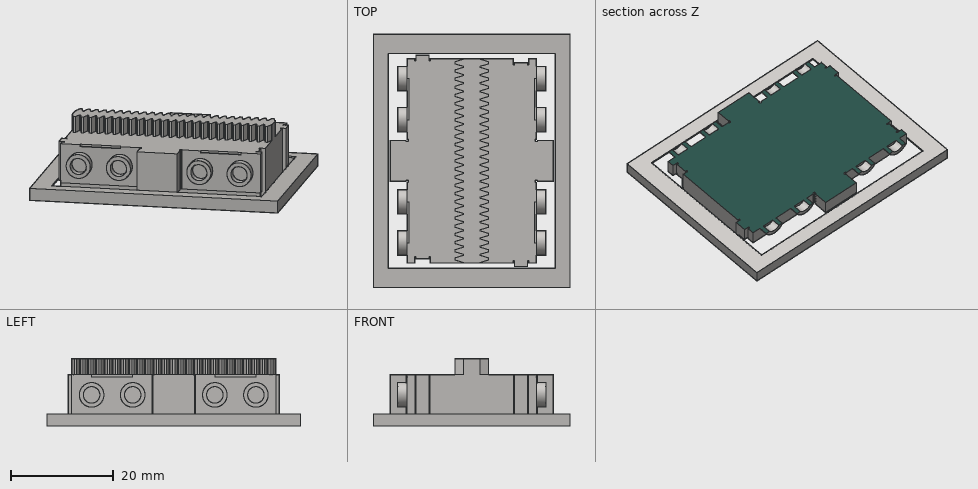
import cadquery as cq

FRAME_WIDTH = 38.4
FRAME_LENGTH = 49.4
FRAME_THICKNESS = 2.4
FRAME_WALL = 1.5
LIP_THICKNESS = 0.3
OPENING_WIDTH = 32.5
OPENING_LENGTH = 41.8

BLOCK_WIDTH = 25.2
BLOCK_LENGTH = 39.8
SIDE_HEIGHT = 7.85
CORE_WIDTH = 18.5
TOTAL_HEIGHT = 13.2

RACK_HEIGHT = 3.15
TOOTH_COUNT = 25
TOOTH_PITCH = BLOCK_LENGTH / TOOTH_COUNT
RACK_TIP_WIDTH = 6.55
RACK_ROOT_WIDTH = 3.25
TOOTH_TIP_FLAT = 0.4
TOOTH_ROOT_FLAT = 0.2

BLOCK_TOP = TOTAL_HEIGHT - RACK_HEIGHT
SIDE_BOTTOM = BLOCK_TOP - SIDE_HEIGHT

STUD_DIAMETER = 4.8
STUD_BORE = 3.2
STUD_HEIGHT = 1.85
STUD_PITCH = 8.0
STUD_STEPS = (-2, -1, 1, 2)
STUD_Z = SIDE_BOTTOM + SIDE_HEIGHT / 2

TAB_SPAN = 31.8
TAB_LENGTH = STUD_PITCH
TAB_RELIEF = 0.4

EDGE_NOTCH = 0.4
EDGE_NOTCH_Y = 1.5 * STUD_PITCH

KEY_OFFSET = 9.6
KEY_WIDTH = 2.55
KEY_HEIGHT = 0.7
KEYWAY_WIDTH = 2.95
KEYWAY_DEPTH = 0.8
KEY_RELIEF_WIDTH = (KEYWAY_WIDTH - KEY_WIDTH) / 2
KEY_RELIEF_DEPTH = 0.4


def box(width, length, bottom, top, x=0, y=0):
    """Box centred on (x, y) between two levels."""
    return cq.Workplane("XY").box(width, length, top - bottom, centered=(True, True, False)).translate(
        (x, y, bottom)
    )


def make_frame():
    outer = box(FRAME_WIDTH, FRAME_LENGTH, 0, FRAME_THICKNESS)
    opening = box(OPENING_WIDTH, OPENING_LENGTH, 0, FRAME_THICKNESS)
    undercut = box(
        FRAME_WIDTH - 2 * FRAME_WALL, FRAME_LENGTH - 2 * FRAME_WALL, 0, FRAME_THICKNESS - LIP_THICKNESS
    )
    return outer.cut(opening).cut(undercut)


def make_rack():
    """Bar with mirrored teeth on both long sides, ending in half root flats."""
    tip_x = RACK_TIP_WIDTH / 2
    root_x = RACK_ROOT_WIDTH / 2
    root_y = (TOOTH_PITCH - TOOTH_ROOT_FLAT) / 2
    tip_y = TOOTH_TIP_FLAT / 2
    side = [(root_x, -BLOCK_LENGTH / 2)]
    for i in range(TOOTH_COUNT):
        y = (i - (TOOTH_COUNT - 1) / 2) * TOOTH_PITCH
        side += [(root_x, y - root_y), (tip_x, y - tip_y), (tip_x, y + tip_y), (root_x, y + root_y)]
    side.append((root_x, BLOCK_LENGTH / 2))
    mirrored = [(-x, y) for x, y in reversed(side)]
    return cq.Workplane("XY", origin=(0, 0, BLOCK_TOP)).polyline(side + mirrored).close().extrude(RACK_HEIGHT)


def make_plan_body():
    """Core, tabs and keys at full depth, less the keyways and corner reliefs."""
    body = box(BLOCK_WIDTH, BLOCK_LENGTH, 0, BLOCK_TOP)
    body = body.union(box(TAB_SPAN, TAB_LENGTH, 0, BLOCK_TOP))
    for x in (-BLOCK_WIDTH / 2, BLOCK_WIDTH / 2):
        for y in (-TAB_LENGTH / 2, TAB_LENGTH / 2):
            body = body.cut(box(TAB_RELIEF, TAB_RELIEF, 0, BLOCK_TOP, x, y))
    for end in (-1, 1):
        end_y = end * BLOCK_LENGTH / 2
        key_x = -end * KEY_OFFSET
        keyway_x = end * KEY_OFFSET
        floor_y = end_y - end * KEYWAY_DEPTH
        body = body.union(box(KEY_WIDTH, 2 * KEY_HEIGHT, 0, BLOCK_TOP, key_x, end_y))
        body = body.cut(box(KEYWAY_WIDTH, 2 * KEYWAY_DEPTH, 0, BLOCK_TOP, keyway_x, end_y))
        for edge in (-1, 1):
            relief_offset = edge * (KEY_WIDTH + KEY_RELIEF_WIDTH) / 2
            for x, y in ((key_x, end_y), (keyway_x, floor_y)):
                body = body.cut(
                    box(
                        KEY_RELIEF_WIDTH, KEY_RELIEF_DEPTH, 0, BLOCK_TOP,
                        x + relief_offset, y - end * KEY_RELIEF_DEPTH / 2,
                    )
                )
    return body


def raise_side_parts(body):
    """Cut away everything below the side parts outside the core."""
    cut_length = BLOCK_LENGTH + 2 * KEY_HEIGHT
    cut_width = (TAB_SPAN - CORE_WIDTH) / 2
    for side in (-1, 1):
        x = side * (CORE_WIDTH + cut_width) / 2
        body = body.cut(box(cut_width, cut_length, 0, SIDE_BOTTOM, x))
    return body


def cut_edge_notches(body):
    for x in (-BLOCK_WIDTH / 2, BLOCK_WIDTH / 2):
        for y in (-EDGE_NOTCH_Y, EDGE_NOTCH_Y):
            body = body.cut(box(2 * EDGE_NOTCH, STUD_PITCH, BLOCK_TOP - EDGE_NOTCH, BLOCK_TOP, x, y))
    return body


def add_studs(body):
    """Rings standing on the long sides, each bored down to the side face."""
    for side in (-1, 1):
        for step in STUD_STEPS:
            face = cq.Plane(
                origin=(side * BLOCK_WIDTH / 2, step * STUD_PITCH, STUD_Z), xDir=(0, 1, 0), normal=(side, 0, 0)
            )
            stud = cq.Workplane(face).circle(STUD_DIAMETER / 2).circle(STUD_BORE / 2).extrude(STUD_HEIGHT)
            body = body.union(stud)
    return body


def make_block():
    body = raise_side_parts(make_plan_body())
    body = cut_edge_notches(body)
    body = add_studs(body)
    return body.union(make_rack())


frame = make_frame()
block = make_block()

result = cq.Compound.makeCompound([frame.val(), block.val()])